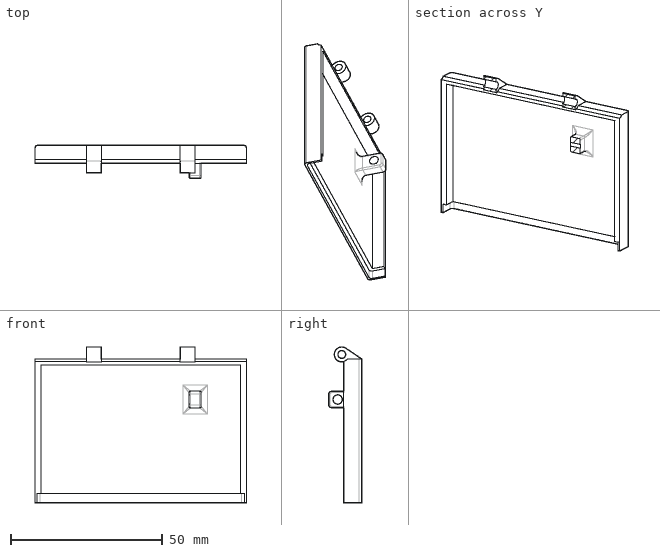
import cadquery as cq
import math

WIDTH = 70.0
DEPTH = 6.0
HEIGHT = 47.55
WALL = 2.0
BACK_CORNER_RADIUS = 1.0

REBATE_HEIGHT = 3.0
REBATE_SKIN = 0.7
REBATE_CORNER_RADIUS = 1.0

KNUCKLE_RADIUS = 2.5
KNUCKLE_LENGTH = 5.0
KNUCKLE_INSET = 17.0
PIN_DIAMETER = 2.5
PIN_Y = -6.65
PIN_RISE = 1.5
PIN_Z = HEIGHT + PIN_RISE

TROUGH_RADIUS = 2.4

LUG_X = 53.0
LUG_Z = 34.15
LUG_WIDTH = 4.0
LUG_HEIGHT = 5.5
LUG_TIP_Y = -11.0
LUG_TIP_RADIUS = 1.0
LUG_EDGE_RADIUS = 0.5
LUG_ROOT_RADIUS = 2.0
LUG_HOLE_DIAMETER = 3.0
LUG_HOLE_Y = -8.0

FLOOR_Y = -WALL


def box(x_range, y_range, z_range):
    """Axis-aligned box between the given limits."""
    size = [end - start for start, end in (x_range, y_range, z_range)]
    corner = (x_range[0], y_range[0], z_range[0])
    return cq.Workplane("XY").box(*size, centered=False).translate(corner)


def rod(radius, x_start, length, y, z):
    """Cylinder along +X."""
    return cq.Workplane("YZ", origin=(x_start, y, z)).circle(radius).extrude(length)


def make_body():
    """Tray with a rebated lower edge and a trough around the hinge axis."""
    body = box((0, WIDTH), (-DEPTH, 0), (0, HEIGHT))
    body = body.edges("|Z and >Y").fillet(BACK_CORNER_RADIUS)
    cavity = box((WALL, WIDTH - WALL), (-DEPTH, FLOOR_Y), (0, HEIGHT - WALL))
    rebate = box((REBATE_SKIN, WIDTH - REBATE_SKIN), (-DEPTH, -REBATE_SKIN), (0, REBATE_HEIGHT))
    rebate = rebate.edges("|Z and >Y").fillet(REBATE_CORNER_RADIUS)
    trough = rod(TROUGH_RADIUS, 0, WIDTH, PIN_Y, PIN_Z)
    return body.cut(cavity).cut(rebate).cut(trough)


def make_knuckle(x_start):
    """Round knuckle with a web running tangentially down to the back top edge."""
    reach = math.hypot(PIN_Y, PIN_RISE)
    slope = math.atan2(PIN_RISE, -PIN_Y) + math.asin(KNUCKLE_RADIUS / reach)
    tangent_length = math.sqrt(reach**2 - KNUCKLE_RADIUS**2)
    tangent_y = -tangent_length * math.cos(slope)
    tangent_z = HEIGHT + tangent_length * math.sin(slope)
    foot_y = PIN_Y + math.sqrt(KNUCKLE_RADIUS**2 - PIN_RISE**2)
    web = (
        cq.Workplane("YZ", origin=(x_start, 0, 0))
        .polyline([(0, HEIGHT), (tangent_y, tangent_z), (PIN_Y, PIN_Z), (foot_y, HEIGHT)])
        .close()
        .extrude(KNUCKLE_LENGTH)
    )
    knuckle = rod(KNUCKLE_RADIUS, x_start, KNUCKLE_LENGTH, PIN_Y, PIN_Z).union(web)
    return knuckle.cut(rod(PIN_DIAMETER / 2, x_start, KNUCKLE_LENGTH, PIN_Y, PIN_Z))


def flare_profile(plane, half_width, length):
    """Concave flare widening onto the floor, extruded symmetrically about the lug centre.

    The plane's local X runs across the lug and its local Y away from the floor.
    """
    r = LUG_ROOT_RADIUS
    mid = r * (1 - math.sqrt(0.5))
    return (
        cq.Workplane(plane)
        .moveTo(-half_width - r, 0)
        .threePointArc((-half_width - mid, mid), (-half_width, r))
        .lineTo(half_width, r)
        .threePointArc((half_width + mid, mid), (half_width + r, 0))
        .close()
        .extrude(length / 2, both=True)
    )


def make_lug():
    """Rounded lug with a mitred concave root flare and a cross hole."""
    half_width = LUG_WIDTH / 2
    half_height = LUG_HEIGHT / 2
    lug = box(
        (LUG_X - half_width, LUG_X + half_width),
        (LUG_TIP_Y, FLOOR_Y),
        (LUG_Z - half_height, LUG_Z + half_height),
    )
    lug = lug.edges("|X and <Y").fillet(LUG_TIP_RADIUS)

    root = (LUG_X, FLOOR_Y, LUG_Z)
    across_x = cq.Plane(origin=root, xDir=(-1, 0, 0), normal=(0, 0, 1))
    across_z = cq.Plane(origin=root, xDir=(0, 0, 1), normal=(1, 0, 0))
    flare_height = LUG_HEIGHT + 2 * LUG_ROOT_RADIUS
    flare_width = LUG_WIDTH + 2 * LUG_ROOT_RADIUS
    flare = flare_profile(across_x, half_width, flare_height).intersect(
        flare_profile(across_z, half_height, flare_width)
    )
    hole = rod(LUG_HOLE_DIAMETER / 2, LUG_X - half_width, LUG_WIDTH, LUG_HOLE_Y, LUG_Z)
    lug = lug.union(flare).edges("|Y").fillet(LUG_EDGE_RADIUS)
    return lug.cut(hole)


result = make_body().union(make_lug())
for knuckle_x in (KNUCKLE_INSET, WIDTH - KNUCKLE_INSET - KNUCKLE_LENGTH):
    result = result.union(make_knuckle(knuckle_x))